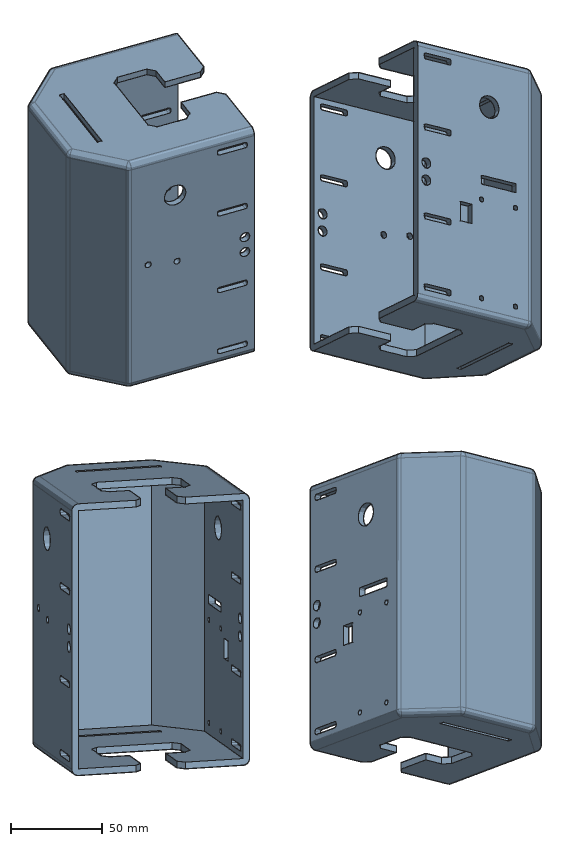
import cadquery as cq
import math

WIDTH = 101.7
DEPTH = 101.7
HEIGHT = 152.4
CORNER_CUT = WIDTH / 4
WALL = 3.8
EDGE_RADIUS = 3.8

THROAT_WIDTH = 20.7
THROAT_DEPTH = WIDTH / 4
POCKET_WIDTH = WIDTH / 2
POCKET_DEPTH = WIDTH / 4
KEYHOLE_CHAMFER = 3.8

END_SLOT_LENGTH = 48.5
END_SLOT_WIDTH = 2.7
END_SLOT_SETBACK = 81.4

STRAP_SLOT_LENGTH = 18.0
STRAP_SLOT_WIDTH = 3.5
STRAP_SLOT_CORNER = 1.2
STRAP_SLOT_SETBACK = 13.4
STRAP_SLOT_HEIGHTS = (26.0, 67.5)

CABLE_HOLE_DIAMETER = 5.8
CABLE_HOLE_SETBACK = 5.8
CABLE_HOLE_HEIGHT = 5.0

PORT_DIAMETER = 13.0
PORT_SETBACK = 48.2
PORT_HEIGHT = 47.0

BOARD_HOLE_DIAMETER = 2.7
BOARD_HOLE_SETBACKS = (43.0, 65.8)
BOARD_HOLE_HEIGHTS = (-8.2, -66.0)

CONNECTOR_LENGTH = 23.5
CONNECTOR_WIDTH = 5.2
CONNECTOR_CORNER = 0.8
CONNECTOR_SETBACK = 54.5
CONNECTOR_HEIGHT = 3.4

SWITCH_LENGTH = 7.6
SWITCH_WIDTH = 11.3
SWITCH_SETBACK = 32.6
SWITCH_HEIGHT = -18.1

PIN_HOLE_DIAMETER = 3.7
PIN_HOLES = ((47.0, 1.7), (64.5, 4.7))

CLEARANCE = 1.5
LEFT = -WIDTH / 2 - CLEARANCE
LEFT_ONLY = WIDTH / 2
BOTH_WALLS = WIDTH + 2 * CLEARANCE


def cut_corner_prism(inset, height):
    """Solid with cut front corners, its sides and front moved inward by inset."""
    half = WIDTH / 2 - inset
    front = -DEPTH + inset
    cut = CORNER_CUT - inset * (2 - math.sqrt(2))
    return (
        cq.Workplane("XY")
        .workplane(offset=-height / 2)
        .polyline([
            (-half, 0),
            (-half, front + cut),
            (-half + cut, front),
            (half - cut, front),
            (half, front + cut),
            (half, 0),
        ])
        .close()
        .extrude(height)
    )


def housing():
    """Rounded shell that is open at the back."""
    outside = cut_corner_prism(0, HEIGHT)
    outside = outside.edges("not(>Y)").fillet(EDGE_RADIUS)
    return outside.cut(cut_corner_prism(WALL, HEIGHT - 2 * WALL))


def keyhole():
    """Chamfered T-shaped opening that runs through both end plates."""
    throat = THROAT_WIDTH / 2
    mouth = throat + KEYHOLE_CHAMFER
    pocket = (
        cq.Workplane("XY")
        .box(POCKET_WIDTH, POCKET_DEPTH, HEIGHT)
        .edges("|Z")
        .chamfer(KEYHOLE_CHAMFER)
        .translate((0, -THROAT_DEPTH - POCKET_DEPTH / 2, 0))
    )
    entry = (
        cq.Workplane("XY")
        .workplane(offset=-HEIGHT / 2)
        .polyline([
            (-mouth, 0),
            (-throat, -KEYHOLE_CHAMFER),
            (-throat, -THROAT_DEPTH - KEYHOLE_CHAMFER),
            (throat, -THROAT_DEPTH - KEYHOLE_CHAMFER),
            (throat, -KEYHOLE_CHAMFER),
            (mouth, 0),
        ])
        .close()
        .extrude(HEIGHT)
    )
    return pocket.union(entry)


def end_slot():
    """Narrow slot that runs through both end plates."""
    return (
        cq.Workplane("XY")
        .box(END_SLOT_LENGTH, END_SLOT_WIDTH, HEIGHT)
        .translate((0, -END_SLOT_SETBACK, 0))
    )


def side_hole(diameter, points, start, length):
    """Round cutters along +X at (setback, height) points."""
    return (
        cq.Workplane("YZ", origin=(start, 0, 0))
        .pushPoints([(-setback, height) for setback, height in points])
        .circle(diameter / 2)
        .extrude(length)
    )


def side_window(size_y, size_z, points, length, corner=0.0):
    """Rectangular cutters from the left along +X, with optional rounded corners."""
    window = (
        cq.Workplane("YZ", origin=(LEFT, 0, 0))
        .pushPoints([(-setback, height) for setback, height in points])
        .rect(size_y, size_z)
        .extrude(length)
    )
    if corner > 0:
        window = window.edges("|X").fillet(corner)
    return window


strap_slots = [
    (STRAP_SLOT_SETBACK, side * height)
    for height in STRAP_SLOT_HEIGHTS
    for side in (-1, 1)
]
cable_holes = [(CABLE_HOLE_SETBACK, side * CABLE_HOLE_HEIGHT) for side in (-1, 1)]
board_holes = [
    (setback, height)
    for setback in BOARD_HOLE_SETBACKS
    for height in BOARD_HOLE_HEIGHTS
]

result = housing().cut(keyhole()).cut(end_slot())

result = result.cut(
    side_window(STRAP_SLOT_LENGTH, STRAP_SLOT_WIDTH, strap_slots, BOTH_WALLS, STRAP_SLOT_CORNER)
)
result = result.cut(side_hole(CABLE_HOLE_DIAMETER, cable_holes, LEFT, BOTH_WALLS))
result = result.cut(side_hole(PORT_DIAMETER, [(PORT_SETBACK, PORT_HEIGHT)], LEFT, BOTH_WALLS))

result = result.cut(side_hole(BOARD_HOLE_DIAMETER, board_holes, LEFT, LEFT_ONLY))
result = result.cut(
    side_window(
        CONNECTOR_LENGTH,
        CONNECTOR_WIDTH,
        [(CONNECTOR_SETBACK, CONNECTOR_HEIGHT)],
        LEFT_ONLY,
        CONNECTOR_CORNER,
    )
)
result = result.cut(
    side_window(SWITCH_LENGTH, SWITCH_WIDTH, [(SWITCH_SETBACK, SWITCH_HEIGHT)], LEFT_ONLY)
)

result = result.cut(side_hole(PIN_HOLE_DIAMETER, PIN_HOLES, 0, BOTH_WALLS))